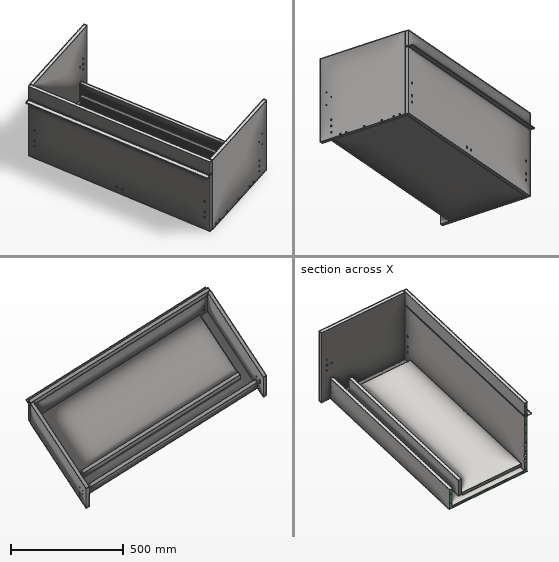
import cadquery as cq

width = 953.0
depth = 499.0
height = 420.0
board = 16.0

side_front = 40.0
rail_back = 450.0
rail_front = rail_back - board
rail_height = 120.0
inner_width = width - 2 * board

front_inset = 2.4
front_width = width - 2 * front_inset
front_back = 38.0
front_face = front_back - board
lower_panel_top = 338.0
upper_panel_bottom = 344.0

handle_tongue_top = 342.0
handle_tongue_front = 19.0
handle_lip_top = 340.0
handle_lip_bottom = 335.0

drawer_bottom_width = 842.0
drawer_back_width = 831.0
drawer_bottom_base = 23.0
drawer_back_top = 116.0
drawer_back_front = 363.0

bottom_dowel_steps = [0, 1, 4, 7, 9, 10]
bottom_dowel_span = 320.0
hole_pitch = bottom_dowel_span / bottom_dowel_steps[-1]

side_hole_skin = 3.0
side_hole_depth = board - side_hole_skin
dowel_diameter = 8.0
bottom_dowel_start = 392.0
rail_dowel_start = 32.0
rail_dowel_count = 3
bracket_y = 468.0
bracket_z = 210.0
bracket_screw_diameter = 5.0
bracket_hole_diameter = 10.0
bracket_hole_depth = 8.0

front_hole_skin = 2.1
front_hole_depth = board - front_hole_skin
front_hole_diameter = 10.0
front_hole_edge = 32.0
front_hole_start = 70.0
front_hole_steps = [0, 1, 3]
front_centre_hole_z = drawer_bottom_base + board / 2


def panel(x_size, y_size, z_size, y_start, z_start):
    """A board centred across the cabinet width."""
    corner = ((width - x_size) / 2, y_start, z_start)
    return cq.Workplane("XY").box(x_size, y_size, z_size, centered=False).translate(corner)


def side_drills(points, diameter, hole_depth):
    """Drill bits entering the left side's inner face at (y, z) points."""
    return (
        cq.Workplane("YZ", origin=(board - hole_depth, 0, 0))
        .pushPoints(points)
        .circle(diameter / 2)
        .extrude(hole_depth)
    )


def make_left_side():
    side = cq.Workplane("XY").box(board, depth - side_front, height, centered=False)
    side = side.translate((0, side_front, 0))
    rail_y = rail_back - board / 2
    dowels = [(bottom_dowel_start - hole_pitch * step, board / 2) for step in bottom_dowel_steps]
    dowels += [(rail_y, rail_dowel_start + hole_pitch * row) for row in range(rail_dowel_count)]
    screws = [
        (bracket_y, bracket_z - hole_pitch),
        (bracket_y, bracket_z + hole_pitch),
        (rail_y, bracket_z),
    ]
    side = side.cut(side_drills(dowels, dowel_diameter, side_hole_depth))
    side = side.cut(side_drills(screws, bracket_screw_diameter, side_hole_depth))
    return side.cut(side_drills([(bracket_y, bracket_z)], bracket_hole_diameter, bracket_hole_depth))


def make_lower_front():
    front = panel(front_width, board, lower_panel_top, front_face, 0)
    points = [
        (x, front_hole_start + hole_pitch * step)
        for x in (front_hole_edge, width - front_hole_edge)
        for step in front_hole_steps
    ]
    points += [(width / 2 + direction * hole_pitch / 2, front_centre_hole_z) for direction in (-1, 1)]
    holes = (
        cq.Workplane("XZ", origin=(0, front_back, 0))
        .pushPoints(points)
        .circle(front_hole_diameter / 2)
        .extrude(front_hole_depth)
    )
    return front.cut(holes)


def make_handle():
    profile = [
        (front_back, lower_panel_top),
        (front_back, handle_tongue_top),
        (handle_tongue_front, handle_tongue_top),
        (handle_tongue_front, handle_lip_top),
        (0, handle_lip_top),
        (0, handle_lip_bottom),
        (front_face, handle_lip_bottom),
        (front_face, lower_panel_top),
    ]
    return (
        cq.Workplane("YZ", origin=(front_inset, 0, 0)).polyline(profile).close().extrude(front_width)
    )


left_side = make_left_side()
right_side = left_side.mirror("YZ", (width / 2, 0, 0))
bottom = panel(inner_width, rail_front - side_front, board, side_front, 0)
rail = panel(inner_width, board, rail_height, rail_front, 0)
lower_front = make_lower_front()
upper_front = panel(front_width, board, height - upper_panel_bottom, front_face, upper_panel_bottom)
handle = make_handle()
drawer_bottom = panel(
    drawer_bottom_width, drawer_back_front - front_back, board, front_back, drawer_bottom_base
)
drawer_back = panel(
    drawer_back_width, board, drawer_back_top - drawer_bottom_base, drawer_back_front, drawer_bottom_base
)

bodies = [
    left_side, right_side, bottom, rail, lower_front, upper_front, handle, drawer_bottom, drawer_back
]
result = cq.Compound.makeCompound([body.val() for body in bodies])